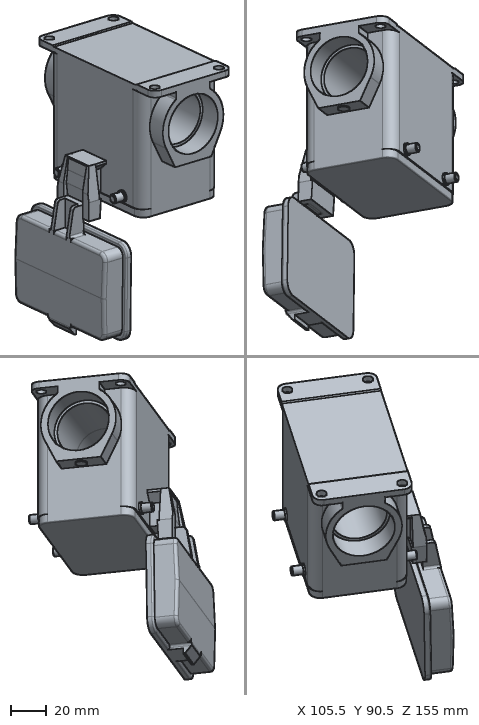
import cadquery as cq
import math


body_length = 82.1
body_width = 56.9
body_height = 80.9
body_corner_radius = 7.1
rim_height = 5.1
rim_inset = 0.6
rim_edge_radius = 0.5

flange_length = 105.5
flange_thickness = 4.0
flange_corner_radius = 5.3
top_recess_depth = 0.6
top_recess_length = 72.8
top_recess_slope = 1.1
mount_hole_diameter = 5.7
mount_hole_x = 47.1
mount_hole_y = 23.1

entry_z = body_height - 26.3
entry_radius = 21.9
entry_neck_half_width = 12.1
entry_base_half_width = 13.0
entry_base_drop = 23.0
entry_neck_fillet = 1.2
entry_bore_diameter = 35.5
entry_bore_end_x = 39.2
through_bore_diameter = 32.0
pad_diameter = 6.8
pad_height = 0.6

pin_x = 25.1
pin_z = 9.5
pin_diameter = 5.5
pin_reach = 36.0
pin_chamfer = 0.6
collar_diameter = 7.0
collar_height = 1.1

clip_top = 26.2
clip_bottom = -5.6
clip_plate_thickness = 1.5
clip_front = -44.0
clip_lip_top_y = -41.0
clip_lip_bend_z = 10.5
clip_back = -35.2
clip_back_top_y = -36.3
clip_back_low_y = -36.0
cheek_bend_z = 6.0
clip_top_half_width = 10.5
clip_low_half_width = 14.1
panel_half_width = 8.5
panel_top_drop = 0.8
panel_top_y = -40.5
panel_upper_bend_y = -41.0
panel_upper_bend_z = 18.1
panel_lower_bend_y = -42.0
panel_foot_y = -41.0
panel_foot_z = 2.8
stem_half_width = 5.5
stem_flare_height = 4.6

cover_length = 85.5
cover_top = -12.2
cover_bottom = -71.1
cover_corner_radius = 7.3
cover_back_y = -36.5
cover_lean = 0.8
cover_flange_thickness = 3.9
cover_flange_radius = 1.1
cap_inset = 2.8
cap_corner_radius = 5.0
cap_edge_radius = 2.0
cap_top = cover_top - cap_inset
cap_bottom = cover_bottom + cap_inset
cap_middle = (cap_top + cap_bottom) / 2
cap_ridge_y = pin_reach - 90.5
cap_top_y = -53.3
cap_bottom_y = -54.0

arm_half_width = 8.2
arm_top = 2.6
arm_back_y = -43.1
arm_tip_y = -50.2
arm_tip_radius = 2.5
arm_channel_half_width = 5.6
arm_channel_back_y = -45.3

latch_half_width = 9.0
latch_bottom = body_height - 155.0
latch_back_y = -48.8
latch_tip_y = -50.0
latch_shoulder_z = -69.6

root_radius = 1.4
overlap = 1.5


def upright_box(length, width, height, bottom):
    """Box centred on the Z axis, standing on the given level."""
    box = cq.Workplane("XY").box(length, width, height, centered=(True, True, False))
    return box.translate((0, 0, bottom))


def profile_along_x(points, half_width):
    """Extrude a (Y, Z) outline symmetrically along X."""
    return cq.Workplane("YZ").polyline(points).close().extrude(half_width, both=True)


def cylinder_along_x(diameter, length):
    """Cylinder on the cable entry axis, centred on X = 0."""
    return (
        cq.Workplane("YZ")
        .center(0, entry_z)
        .circle(diameter / 2)
        .extrude(length / 2, both=True)
    )


def make_body():
    upper = upright_box(body_length, body_width, body_height - rim_height, rim_height)
    upper = upper.edges("|Z").fillet(body_corner_radius)
    rim_radius = body_corner_radius - rim_inset
    rim = upright_box(body_length, body_width - 2 * rim_inset, rim_height, 0)
    rim = rim.edges("|Z").fillet(rim_radius).faces("<Z").edges().fillet(rim_edge_radius)
    return upper.union(rim)


def make_flange():
    bottom = body_height - flange_thickness
    flange = upright_box(flange_length, body_width, flange_thickness, bottom)
    return flange.edges("|Z").fillet(flange_corner_radius)


def cut_top(part):
    """Sink the middle of the top face and drill the mounting holes."""
    half = top_recess_length / 2
    floor = body_height - top_recess_depth
    recess = (
        cq.Workplane("XZ")
        .moveTo(-half - top_recess_slope, body_height)
        .lineTo(-half, floor)
        .lineTo(half, floor)
        .lineTo(half + top_recess_slope, body_height)
        .close()
        .extrude(body_width, both=True)
    )
    holes = (
        cq.Workplane("XY", origin=(0, 0, body_height))
        .rect(2 * mount_hole_x, 2 * mount_hole_y, forConstruction=True)
        .vertices()
        .circle(mount_hole_diameter / 2)
        .extrude(-flange_thickness)
    )
    return part.cut(recess).cut(holes)


def make_entries():
    """Both cable entries: a round collar, a neck up to the flange and a tapered foot."""
    corner_distance = math.hypot(entry_base_half_width, entry_base_drop)
    corner_angle = math.atan2(-entry_base_drop, entry_base_half_width)
    tangent_angle = corner_angle + math.acos(entry_radius / corner_distance)
    tangent_y = entry_radius * math.cos(tangent_angle)
    tangent_z = entry_z + entry_radius * math.sin(tangent_angle)
    base_z = entry_z - entry_base_drop
    neck_drop = math.sqrt(entry_radius**2 - entry_neck_half_width**2)
    neck_z = entry_z + neck_drop
    neck_top = body_height - flange_thickness / 2
    outline = (
        cq.Workplane("YZ")
        .moveTo(-entry_neck_half_width, neck_top)
        .lineTo(-entry_neck_half_width, neck_z)
        .threePointArc((-entry_radius, entry_z), (-tangent_y, tangent_z))
        .lineTo(-entry_base_half_width, base_z)
        .lineTo(entry_base_half_width, base_z)
        .lineTo(tangent_y, tangent_z)
        .threePointArc((entry_radius, entry_z), (entry_neck_half_width, neck_z))
        .lineTo(entry_neck_half_width, neck_top)
        .close()
    )
    entries = outline.extrude(flange_length / 2, both=True)
    for side in (-1, 1):
        neck_corner = cq.selectors.NearestToPointSelector((0, side * entry_neck_half_width, neck_z))
        entries = entries.edges(neck_corner).fillet(entry_neck_fillet)
    pad_x = (body_length + flange_length) / 4
    pads = (
        cq.Workplane("XY", origin=(0, 0, base_z - pad_height))
        .pushPoints([(-pad_x, 0), (pad_x, 0)])
        .circle(pad_diameter / 2)
        .extrude(pad_height + overlap)
    )
    return entries.union(pads)


def cut_bores(part):
    """Bore right through, widened inside both cable entries."""
    wide = cylinder_along_x(entry_bore_diameter, flange_length)
    core = cylinder_along_x(entry_bore_diameter, 2 * entry_bore_end_x)
    part = part.cut(wide.cut(core))
    return part.cut(cylinder_along_x(through_bore_diameter, flange_length))


def make_pin(x, side):
    """One locking pin with its collar; side is +1 or -1 along Y."""
    face = body_width / 2
    plane = cq.Plane(origin=(x, side * face, pin_z), xDir=(1, 0, 0), normal=(0, side, 0))
    pin = cq.Workplane(plane).circle(pin_diameter / 2).extrude(pin_reach - face)
    tip = ">Y" if side > 0 else "<Y"
    pin = pin.faces(tip).chamfer(pin_chamfer)
    collar = cq.Workplane(plane).circle(collar_diameter / 2).extrude(collar_height)
    return pin.union(collar)


def make_clip():
    body_face = -body_width / 2
    front_outline = (
        cq.Workplane("XZ")
        .polyline([
            (-clip_top_half_width, clip_top),
            (-clip_low_half_width, cheek_bend_z),
            (-clip_low_half_width, clip_bottom),
            (clip_low_half_width, clip_bottom),
            (clip_low_half_width, cheek_bend_z),
            (clip_top_half_width, clip_top),
        ])
        .close()
        .extrude(-clip_front + overlap)
    )
    cheeks = profile_along_x(
        [
            (clip_back_top_y, clip_top),
            (clip_lip_top_y, clip_top),
            (clip_front, clip_lip_bend_z),
            (clip_front, clip_bottom),
            (clip_back_low_y, clip_bottom),
            (clip_back, cheek_bend_z),
            (clip_back_top_y, cheek_bend_z),
        ],
        clip_low_half_width,
    ).intersect(front_outline)
    panel_recess = profile_along_x(
        [
            (panel_top_y, clip_top - panel_top_drop),
            (panel_upper_bend_y, panel_upper_bend_z),
            (panel_lower_bend_y, clip_lip_bend_z),
            (panel_foot_y, panel_foot_z),
            (panel_foot_y, clip_bottom),
            (clip_front - overlap, clip_bottom),
            (clip_front - overlap, clip_top - panel_top_drop),
        ],
        panel_half_width,
    )
    plate_bottom = clip_top - clip_plate_thickness
    stem_top = plate_bottom - stem_flare_height
    stem = (
        cq.Workplane("XZ", origin=(0, body_face, 0))
        .polyline([
            (-clip_top_half_width, clip_top),
            (-clip_top_half_width, plate_bottom),
            (-stem_half_width, stem_top),
            (-stem_half_width, cheek_bend_z),
            (stem_half_width, cheek_bend_z),
            (stem_half_width, stem_top),
            (clip_top_half_width, plate_bottom),
            (clip_top_half_width, clip_top),
        ])
        .close()
        .extrude(body_face - clip_back_top_y)
    )
    return cheeks.cut(panel_recess).union(stem)


def cover_plan(length, bottom, top, corner_radius):
    """Rounded (X, Z) block used to trim the cover to its front outline."""
    plan = cq.Workplane("XZ").center(0, (top + bottom) / 2).rect(length, top - bottom)
    return plan.extrude(-cap_ridge_y + overlap).edges("|Y").fillet(corner_radius)


def make_cover():
    """Cover plate, leaning slightly outwards at its foot, with a ridged cap in front."""
    flange_front_y = cover_back_y - cover_flange_thickness
    flange = profile_along_x(
        [
            (cover_back_y, cover_top),
            (flange_front_y, cover_top),
            (flange_front_y - cover_lean, cover_bottom),
            (cover_back_y - cover_lean, cover_bottom),
        ],
        cover_length / 2,
    )
    flange = flange.intersect(cover_plan(cover_length, cover_bottom, cover_top, cover_corner_radius))
    flange = flange.faces("<Y").edges().fillet(cover_flange_radius)
    cap_length = cover_length - 2 * cap_inset
    cap = profile_along_x(
        [
            (cover_back_y - overlap, cap_top),
            (cap_top_y, cap_top),
            (cap_ridge_y, cap_middle),
            (cap_bottom_y, cap_bottom),
            (cover_back_y - overlap, cap_bottom),
        ],
        cap_length / 2,
    )
    cap = cap.intersect(cover_plan(cap_length, cap_bottom, cap_top, cap_corner_radius))
    rim_region = cq.selectors.BoxSelector(
        (-cover_length, cap_ridge_y - overlap, cover_bottom),
        (cover_length, cap_top_y + overlap / 2, cover_top),
    )
    ridge = cq.selectors.NearestToPointSelector((0, cap_ridge_y, cap_middle))
    cap = cap.edges(rim_region - ridge)
    cap = cap.fillet(cap_edge_radius)
    return flange.union(cap)


def flared_plan(half_width, cap_level, tip_level):
    """(X, Z) block of a tongue that widens with an arc where it meets the cap level."""
    outward = math.copysign(1, tip_level - cap_level)
    foot_half_width = half_width + root_radius
    flare_level = cap_level + outward * root_radius
    arc_offset = root_radius * (1 - math.sqrt(0.5))
    arc_x = half_width + arc_offset
    arc_z = cap_level + outward * arc_offset
    return (
        cq.Workplane("XZ")
        .moveTo(foot_half_width, cap_middle)
        .lineTo(foot_half_width, cap_level)
        .threePointArc((arc_x, arc_z), (half_width, flare_level))
        .lineTo(half_width, tip_level)
        .lineTo(-half_width, tip_level)
        .lineTo(-half_width, flare_level)
        .threePointArc((-arc_x, arc_z), (-foot_half_width, cap_level))
        .lineTo(-foot_half_width, cap_middle)
        .close()
        .extrude(-cap_ridge_y + overlap)
    )


def make_arm():
    """Arm from the clip down onto the cap, with a channel open to the front and to the top."""
    arm = profile_along_x(
        [
            (panel_foot_y + overlap, arm_top),
            (arm_tip_y, arm_top),
            (cap_top_y, cap_top),
            (cap_ridge_y, cap_middle),
            (arm_back_y, cap_middle),
            (arm_back_y, clip_bottom),
            (panel_foot_y + overlap, clip_bottom),
        ],
        cover_length / 2,
    )
    tip = cq.selectors.NearestToPointSelector((0, arm_tip_y, arm_top))
    arm = arm.edges(tip).fillet(arm_tip_radius)
    arm = arm.intersect(flared_plan(arm_half_width, cap_top, arm_top))
    channel = profile_along_x(
        [
            (arm_channel_back_y, arm_top),
            (arm_channel_back_y, cap_middle),
            (cap_ridge_y, cap_middle),
            (cap_ridge_y, arm_top),
        ],
        arm_channel_half_width,
    )
    return arm.cut(channel)


def make_latch():
    """Latch lip that carries the lower slope of the cap past its bottom edge."""
    latch = profile_along_x(
        [
            (cover_back_y - overlap, cap_middle),
            (cap_ridge_y, cap_middle),
            (cap_bottom_y, cap_bottom),
            (cap_bottom_y, latch_shoulder_z),
            (latch_tip_y, latch_bottom),
            (latch_back_y, latch_bottom),
            (latch_back_y, cover_bottom),
            (cover_back_y - overlap, cover_bottom),
        ],
        cover_length / 2,
    )
    return latch.intersect(flared_plan(latch_half_width, cap_bottom, latch_bottom))


housing = make_body().union(make_flange()).union(make_entries())
housing = cut_bores(cut_top(housing))
for pin_side in (-1, 1):
    for pin_position in (-pin_x, pin_x):
        housing = housing.union(make_pin(pin_position, pin_side))

cover = make_cover().union(make_arm()).union(make_latch())

result = housing.union(make_clip()).union(cover)